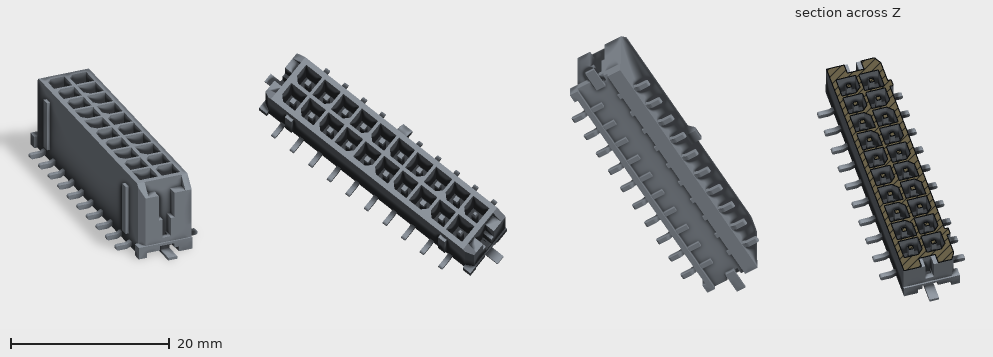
import cadquery as cq

LENGTH = 37.65
WIDTH = 11.2
HEIGHT = 9.98

COLUMNS = 10
PITCH = 3.0
ROW_Y = PITCH / 2
PIN = 0.65

BODY_LENGTH = 33.75
BODY_WIDTH = 6.93
SHOULDER_Z = 8.35
TOP_LENGTH = 31.02
CHAMFER_X = 1.0
CHAMFER_Y = 0.55

CAVITY_LENGTH = 2.6
CAVITY_WIDTH = 2.52
CAVITY_FLOOR_Z = 2.25
KEY_CHAMFER = 0.68
BACK_KEYS = "LRRRLLRRLL"
FRONT_KEYS = "LLLRRLLRL-"
PIN_TOP_Z = 7.53
PIN_TIP = 0.35
TIP_HEIGHT = 0.55

EAR_BACK_Y = 2.6
EAR_FRONT_Y = -2.45
WIDE_SLOT = 2.15
WIDE_SLOT_Z = 4.85
NARROW_SLOT = 1.13
NARROW_SLOT_Y = 0.05
NARROW_SLOT_Z = 2.3
POCKET_X = 16.23
POCKET_WIDTH = 0.8
POCKET_DEPTH = 0.38

BASE_LENGTH = 34.15
BASE_Z = 1.62
FOOT_INNER_X = 15.85
FRONT_PROJECTION = 0.45
RIB_X = 12.4
RIB_WIDTH = 1.05
RIB_TOP_Z = 8.32
CHANNEL_BACK_Y = 1.62
CHANNEL_FRONT_Y = -2.8
CHANNEL_Z = 0.68
LATCH_WIDTH = 1.5
LATCH_REACH = 1.35
LATCH_TOP_Z = 9.37
LATCH_NOSE_Z = 7.85
LATCH_UNDER_Z = 6.95
LATCH_FILLET = 0.3

LEAD_RISE = 0.25
BEND_OUTER_Y = 4.2
BEND_INNER_Y = 3.45

TAB_WIDTH = 1.25
TAB_THICKNESS = 0.38
TAB_LEG_X = 16.35
TAB_NOTCH_X = 16.2
TAB_NOTCH_WIDTH = 2.0
TAB_NOTCH_Z = 1.28

BACK_Y = BODY_WIDTH / 2
FRONT_Y = -BODY_WIDTH / 2
BODY_X = BODY_LENGTH / 2
BASE_X = BASE_LENGTH / 2
RECESS_X = TOP_LENGTH / 2
COLUMN_X = [(i - (COLUMNS - 1) / 2) * PITCH for i in range(COLUMNS)]


def block(x0, x1, y0, y1, z0, z1):
    """Box between two opposite corners."""
    return cq.Workplane("XY").box(x1 - x0, y1 - y0, z1 - z0, centered=False).translate((x0, y0, z0))


def both_ends(shape):
    """The shape together with its mirror image at the other end."""
    return shape.union(shape.mirror("YZ"))


def housing():
    outline = [
        (-BODY_X, 0), (BODY_X, 0), (BODY_X, SHOULDER_Z),
        (RECESS_X, HEIGHT), (-RECESS_X, HEIGHT), (-BODY_X, SHOULDER_Z),
    ]
    body = cq.Workplane("XZ").polyline(outline).close().extrude(BODY_WIDTH / 2, both=True)
    corner = (
        cq.Workplane("XY")
        .polyline([
            (-BODY_X, FRONT_Y), (-BODY_X + CHAMFER_X, FRONT_Y), (-BODY_X, FRONT_Y + CHAMFER_Y),
        ])
        .close()
        .extrude(HEIGHT)
    )
    return body.cut(both_ends(corner))


def end_recess():
    def slot(width, y, z):
        return block(-BODY_X, -RECESS_X, y - width / 2, y + width / 2, z, HEIGHT)

    recess = block(-BODY_X, -RECESS_X, EAR_FRONT_Y, EAR_BACK_Y, SHOULDER_Z, HEIGHT)
    recess = recess.union(slot(WIDE_SLOT, 0, WIDE_SLOT_Z))
    recess = recess.union(slot(NARROW_SLOT, NARROW_SLOT_Y, NARROW_SLOT_Z))
    pocket = block(
        -POCKET_X, -RECESS_X, -POCKET_WIDTH / 2, POCKET_WIDTH / 2,
        NARROW_SLOT_Z - POCKET_DEPTH, NARROW_SLOT_Z,
    )
    return recess.union(pocket)


def end_base():
    return block(-BASE_X, -FOOT_INNER_X, FRONT_Y - FRONT_PROJECTION, BACK_Y, 0, BASE_Z)


def tab_notch():
    half = TAB_NOTCH_WIDTH / 2
    return block(-BASE_X, -TAB_NOTCH_X, -half, half, 0, TAB_NOTCH_Z)


def solder_tab():
    inner_x = -TAB_LEG_X + TAB_THICKNESS
    half = TAB_WIDTH / 2
    tab = block(-LENGTH / 2, inner_x, -half, half, 0, TAB_THICKNESS)
    leg = block(-TAB_LEG_X, inner_x, -half, half, 0, TAB_NOTCH_Z)
    return tab.union(leg)


def rib():
    return block(
        -RIB_X - RIB_WIDTH / 2, -RIB_X + RIB_WIDTH / 2,
        FRONT_Y - FRONT_PROJECTION, FRONT_Y, BASE_Z, RIB_TOP_Z,
    )


def latch():
    nose_y = BACK_Y + LATCH_REACH
    return (
        cq.Workplane("YZ")
        .moveTo(BACK_Y, LATCH_TOP_Z)
        .lineTo(nose_y, LATCH_NOSE_Z)
        .lineTo(nose_y, LATCH_UNDER_Z)
        .lineTo(BACK_Y + LATCH_FILLET, LATCH_UNDER_Z)
        .radiusArc((BACK_Y, LATCH_UNDER_Z - LATCH_FILLET), -LATCH_FILLET)
        .close()
        .extrude(LATCH_WIDTH / 2, both=True)
    )


def cavity(x, y, key):
    half_x = CAVITY_LENGTH / 2
    half_y = CAVITY_WIDTH / 2
    pocket = block(x - half_x, x + half_x, y - half_y, y + half_y, CAVITY_FLOOR_Z, HEIGHT)
    if key == "L":
        pocket = pocket.edges("|Z and <X and <Y").chamfer(KEY_CHAMFER)
    elif key == "R":
        pocket = pocket.edges("|Z and >X and <Y").chamfer(KEY_CHAMFER)
    return pocket


def pin(x, y, tapered):
    half = PIN / 2
    shaft_top_z = PIN_TOP_Z - TIP_HEIGHT if tapered else PIN_TOP_Z
    shaft = block(x - half, x + half, y - half, y + half, LEAD_RISE, shaft_top_z)
    if tapered:
        tip = (
            cq.Workplane("XY", origin=(x, y, shaft_top_z))
            .rect(PIN, PIN)
            .workplane(offset=TIP_HEIGHT)
            .rect(PIN_TIP, PIN_TIP)
            .loft(ruled=True)
        )
        shaft = shaft.union(tip)
    return shaft


def lead(x, inner_y):
    """Lead running from its pin out of the back wall, stepping down to the solder plane."""
    outward = [(1, 0), (1, 0)]
    inward = [(-1, 0), (-1, 0)]
    round_start_y = WIDTH / 2 - PIN / 2
    return (
        cq.Workplane("YZ", origin=(x - PIN / 2, 0, 0))
        .moveTo(inner_y, LEAD_RISE)
        .lineTo(BEND_INNER_Y, LEAD_RISE)
        .spline([(BEND_OUTER_Y, 0)], tangents=outward, includeCurrent=True)
        .lineTo(round_start_y, 0)
        .threePointArc((WIDTH / 2, PIN / 2), (round_start_y, PIN))
        .lineTo(BEND_OUTER_Y, PIN)
        .spline([(BEND_INNER_Y, PIN + LEAD_RISE)], tangents=inward, includeCurrent=True)
        .lineTo(inner_y, PIN + LEAD_RISE)
        .close()
        .extrude(PIN)
    )


result = housing().cut(both_ends(end_recess()))
result = result.union(both_ends(end_base()))
result = result.cut(block(-BASE_X, BASE_X, CHANNEL_FRONT_Y, CHANNEL_BACK_Y, 0, CHANNEL_Z))
result = result.cut(both_ends(tab_notch()))
result = result.union(both_ends(solder_tab())).union(both_ends(rib())).union(latch())

for row_y, keys in ((ROW_Y, BACK_KEYS), (-ROW_Y, FRONT_KEYS)):
    for x, key in zip(COLUMN_X, keys):
        result = result.cut(cavity(x, row_y, key))

for x in COLUMN_X:
    is_last = x == COLUMN_X[-1]
    back_lead = lead(x, ROW_Y)
    for row_y, wire in ((ROW_Y, back_lead), (-ROW_Y, back_lead.mirror("XZ"))):
        result = result.union(pin(x, row_y, is_last)).union(wire)